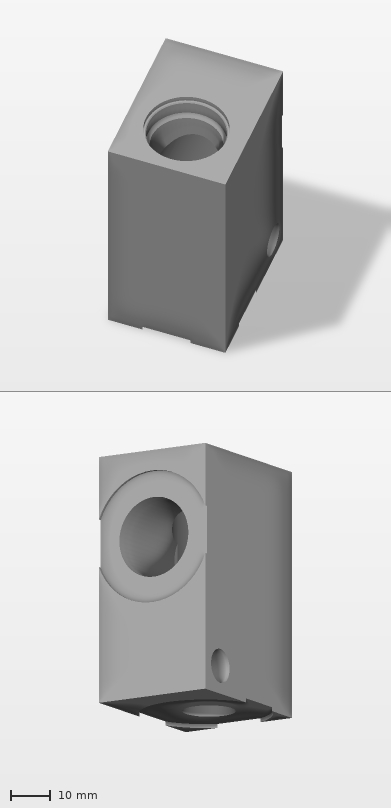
import cadquery as cq

width = 31.75
depth = 41.15
height = 63.5
mid_x = width / 2

bore_y = 14.15
counterbore_radius = 10.9
counterbore_depth = 1.3
lead_in_radius = 10.5
thread_major_radius = 10.2
lead_in_depth = 1.6
thread_minor_radius = 9.35
thread_cone_start = 5.15
thread_cone_end = 6.2
step_cone_start = 34.3
step_cone_end = 35.55
step_radius = 8.8
floor_radius = 8.6
floor_depth = 38.1
through_radius = 6.7

recess_radius = 17.0
base_recess_y = 15.75
base_recess_depth = 1.0
back_recess_z = 41.2
back_recess_depth = 0.8

port_radius = 10.3

cross_hole_radius = 4.4
cross_hole_from_back = 7.1
cross_hole_z = 7.2


def main_bore():
    """Solid of revolution from the top face down to the base."""
    radius_and_depth = [
        (0, 0),
        (counterbore_radius, 0),
        (counterbore_radius, counterbore_depth),
        (lead_in_radius, counterbore_depth),
        (thread_major_radius, lead_in_depth),
        (thread_major_radius, thread_cone_start),
        (thread_minor_radius, thread_cone_end),
        (thread_minor_radius, step_cone_start),
        (step_radius, step_cone_end),
        (floor_radius, step_cone_end),
        (floor_radius, floor_depth),
        (through_radius, floor_depth),
        (through_radius, height),
        (0, height),
    ]
    profile = [(radius, height - down) for radius, down in radius_and_depth]
    bore = cq.Workplane("XZ").polyline(profile).close().revolve(360, (0, 0), (0, 1))
    return bore.translate((mid_x, bore_y, 0))


def base_recess():
    plane = cq.Workplane("XY", origin=(mid_x, base_recess_y, 0))
    return plane.circle(recess_radius).extrude(base_recess_depth)


def back_cylinder(radius, length):
    """Cylinder on the axis of the back recess, reaching forward from the back face."""
    plane = cq.Workplane("XZ", origin=(mid_x, depth, back_recess_z))
    return plane.circle(radius).extrude(length)


def cross_hole():
    plane = cq.Workplane("YZ", origin=(0, depth - cross_hole_from_back, cross_hole_z))
    return plane.circle(cross_hole_radius).extrude(width)


block = cq.Workplane("XY").box(width, depth, height, centered=False)

result = (
    block.cut(main_bore())
    .cut(base_recess())
    .cut(back_cylinder(recess_radius, back_recess_depth))
    .cut(back_cylinder(port_radius, depth - bore_y))
    .cut(cross_hole())
)